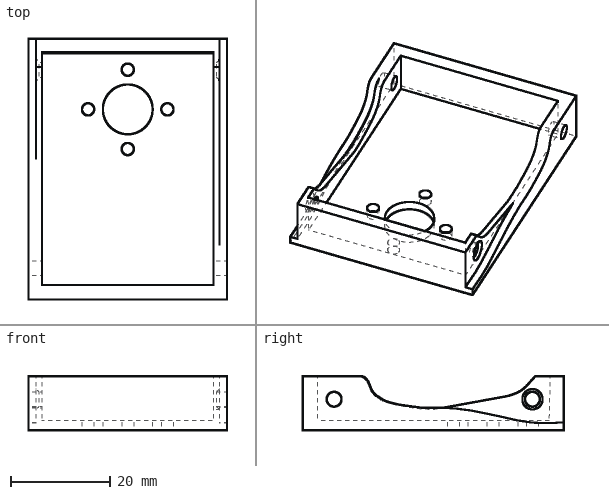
import cadquery as cq

width = 40.0
length = 52.5
height = 10.9
floor_thickness = 2.0
side_wall = 2.8
front_wall = 2.95
rear_wall_top = 2.75
rear_wall_base = 2.95

ledge_width = 1.6
ledge_height = 1.6
left_ledge_end_y = 2.1
right_ledge_end_y = 1.5
saddle_height = 4.55
rib_line_start = (13.35, 6.6)
rib_top_y = 20.55
right_flat_start_y = 0.15
right_flat_end_y = -0.85
right_rib_drop = 0.2
saddle_end_y = -15.15

pin_radius = 1.45
pin_y = 19.95
pin_z = 6.25
countersink_radius = 2.05
countersink_depth = countersink_radius - pin_radius
bore_radius = 5.0
bore_y = 12.0
screw_radius = 1.2
screw_offset = 8.0

half_width = width / 2
half_length = length / 2
rib_face_x = half_width - ledge_width
cavity_side_x = half_width - side_wall
overshoot = 0.5

saddle_middle = (-2.35, saddle_height)
saddle_rise = [
    (-4.45, 4.8),
    (-6.65, 5.15),
    (-9.9, 6.05),
    (-11.55, 7.1),
    (-12.3, 7.95),
    (-13.2, 10.0),
    (-13.75, 10.6),
    (saddle_end_y, height),
]

ledge_flat_y = 24.95
ledge_rise = [
    (21.1, 1.45),
    (19.15, 1.65),
    (16.95, 2.0),
    (11.85, 3.15),
    (7.5, 4.0),
    (4.6, 4.35),
]

rib_curve = [(17.9, 8.2), (14.95, 6.95), rib_line_start]
rib_line_slope = (rib_line_start[1] - saddle_height) / (rib_line_start[0] - left_ledge_end_y)
saddle_end_tangents = [(-1, 0), (-1, 0)]


def cut_above(profile, start_y, end_y, x_limits):
    """Solid above an open wall-top profile, between two X positions."""
    x_start, x_end = sorted(x_limits)
    top = height + overshoot
    outline = profile.lineTo(end_y, top).lineTo(start_y, top).close()
    return outline.extrude(x_end - x_start).translate((x_start, 0, 0))


def saddle_cut(start_y, x_limits):
    profile = (
        cq.Workplane("YZ")
        .moveTo(start_y, saddle_height)
        .spline([saddle_middle] + saddle_rise, tangents=saddle_end_tangents, includeCurrent=True)
    )
    return cut_above(profile, start_y, saddle_end_y, x_limits)


def left_ledge_cut(x_limits):
    """Flat rear end, a shallow dip, then a rise to the saddle."""
    profile = (
        cq.Workplane("YZ")
        .moveTo(half_length, ledge_height)
        .lineTo(ledge_flat_y, ledge_height)
        .lineTo(*ledge_rise[0])
        .spline(ledge_rise[1:] + [(left_ledge_end_y, saddle_height)], includeCurrent=True)
    )
    return cut_above(profile, half_length, left_ledge_end_y, x_limits)


def right_ledge_cut(x_limits):
    """The same rise as on the left, as one smooth curve from the rear."""
    profile = (
        cq.Workplane("YZ")
        .moveTo(half_length, ledge_height)
        .spline(ledge_rise + [(right_ledge_end_y, saddle_height)], includeCurrent=True)
    )
    return cut_above(profile, half_length, right_ledge_end_y, x_limits)


def rib_start():
    slope_tangents = [(-1, -1), (-1, -rib_line_slope)]
    return (
        cq.Workplane("YZ")
        .moveTo(rib_top_y, height)
        .spline(rib_curve, tangents=slope_tangents, includeCurrent=True)
    )


def left_rib_cut(x_limits):
    profile = rib_start().lineTo(left_ledge_end_y, saddle_height)
    return cut_above(profile, rib_top_y, left_ledge_end_y, x_limits)


def right_rib_cut(x_limits):
    flat_z = saddle_height - rib_line_slope * (left_ledge_end_y - right_flat_start_y)
    lowered_rise = [(y, z - right_rib_drop) for y, z in saddle_rise[:-1]]
    profile = (
        rib_start()
        .lineTo(right_flat_start_y, flat_z)
        .lineTo(right_flat_end_y, flat_z)
        .spline(lowered_rise + saddle_rise[-1:], tangents=saddle_end_tangents, includeCurrent=True)
    )
    return cut_above(profile, rib_top_y, saddle_end_y, x_limits)


def cavity():
    front_y = front_wall - half_length
    rear_base_y = half_length - rear_wall_base
    rear_top_y = half_length - rear_wall_top
    return (
        cq.Workplane("YZ")
        .moveTo(front_y, floor_thickness)
        .lineTo(rear_base_y, floor_thickness)
        .lineTo(rear_top_y, height)
        .lineTo(front_y, height)
        .close()
        .extrude(cavity_side_x, both=True)
    )


def pin_hole(y):
    return cq.Workplane("YZ").center(y, pin_z).circle(pin_radius).extrude(half_width, both=True)


def countersink(side):
    """Cone opening outwards on a rib's outer face; side is -1 or 1."""
    cone = cq.Solid.makeCone(
        countersink_radius,
        pin_radius,
        countersink_depth,
        cq.Vector(side * rib_face_x, pin_y, pin_z),
        cq.Vector(-side, 0, 0),
    )
    return cq.Workplane(obj=cone)


def floor_hole(x, y, radius):
    return cq.Workplane("XY").center(x, y).circle(radius).extrude(floor_thickness)


result = cq.Workplane("XY").box(width, length, height, centered=(True, True, False))
result = result.cut(cavity())

result = result.cut(left_ledge_cut((-half_width, -rib_face_x)))
result = result.cut(left_rib_cut((-rib_face_x, -cavity_side_x)))
result = result.cut(saddle_cut(left_ledge_end_y, (-half_width, -cavity_side_x)))

result = result.cut(right_ledge_cut((rib_face_x, half_width)))
result = result.cut(saddle_cut(right_ledge_end_y, (rib_face_x, half_width)))
result = result.cut(right_rib_cut((cavity_side_x, rib_face_x)))

for y in (-pin_y, pin_y):
    result = result.cut(pin_hole(y))
for side in (-1, 1):
    result = result.cut(countersink(side))

result = result.cut(floor_hole(0, bore_y, bore_radius))
for x_step, y_step in ((1, 0), (-1, 0), (0, 1), (0, -1)):
    x = x_step * screw_offset
    y = bore_y + y_step * screw_offset
    result = result.cut(floor_hole(x, y, screw_radius))